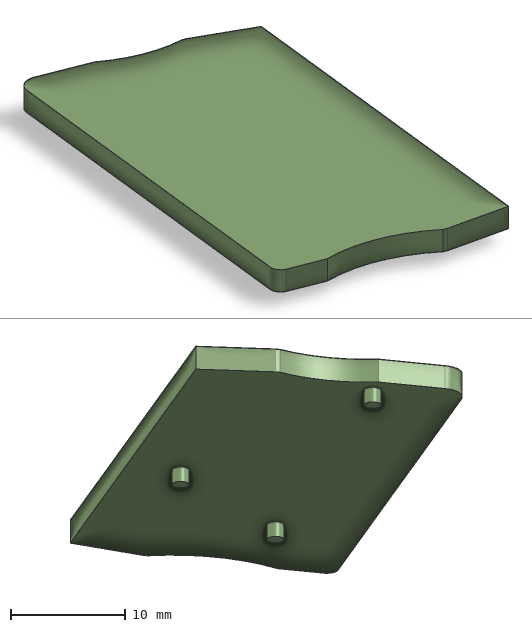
import cadquery as cq

length = 45.0
width = 24.3
plate_thickness = 2.15
overall_height = 3.55
left_corner_radius = 2.02
right_corner_radius = 1.05

taper_inset = 1.15
taper_start_y = 17.4

scallop_rear_y = 16.95
left_scallop_front_y = 8.05
left_scallop_depth = 0.75
right_scallop_front_y = 5.18
right_scallop_depth = 1.2

peg_diameter = 1.5
peg_length = overall_height - plate_thickness
front_peg_y = 8.05
rear_peg_y = 19.45
peg_centers = [(2.02, front_peg_y), (24.55, rear_peg_y), (35.0, front_peg_y)]


def make_plate():
    """Plate with its underside on Z = 0 and its front left corner at the origin."""
    left_scallop_middle_y = (scallop_rear_y + left_scallop_front_y) / 2
    right_scallop_middle_y = (scallop_rear_y + right_scallop_front_y) / 2
    plate = (
        cq.Workplane("XY")
        .lineTo(length, 0)
        .lineTo(length, right_scallop_front_y)
        .threePointArc(
            (length - right_scallop_depth, right_scallop_middle_y),
            (length, scallop_rear_y),
        )
        .lineTo(length, taper_start_y)
        .lineTo(length - taper_inset, width)
        .lineTo(taper_inset, width)
        .lineTo(0, taper_start_y)
        .lineTo(0, scallop_rear_y)
        .threePointArc(
            (left_scallop_depth, left_scallop_middle_y),
            (0, left_scallop_front_y),
        )
        .close()
        .extrude(plate_thickness)
    )
    plate = plate.edges("|Z").edges(cq.NearestToPointSelector((0, 0, 0))).fillet(left_corner_radius)
    return plate.edges("|Z").edges(cq.NearestToPointSelector((length, 0, 0))).fillet(right_corner_radius)


def make_pegs():
    """Round pegs reaching down from the underside of the plate."""
    return (
        cq.Workplane("XY")
        .pushPoints(peg_centers)
        .circle(peg_diameter / 2)
        .extrude(-peg_length)
    )


result = make_plate().union(make_pegs())